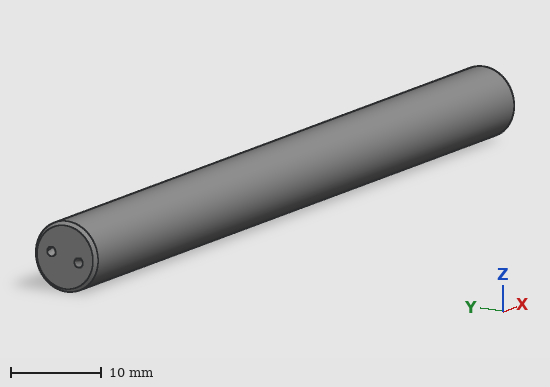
import cadquery as cq
import math

rod_length = 90.0
rod_diameter = 8.0
chamfer_size = 0.41

channel_diameter = 1.1
channel_spacing = 3.6
start_angle = 14.0
helix_lead = 43.6


def make_rod():
    """Rod from X = 0 to X = rod_length, chamfered at X = 0 only."""
    rod = cq.Workplane("YZ").circle(rod_diameter / 2).extrude(rod_length)
    return rod.faces("<X").edges().chamfer(chamfer_size)


def make_channel(angle):
    """Cutter for one channel that starts at the given angle and twists through the whole rod."""
    radius = channel_spacing / 2
    centre_y = radius * math.cos(math.radians(angle))
    centre_z = radius * math.sin(math.radians(angle))
    total_twist = 360 * rod_length / helix_lead
    profile = cq.Workplane("YZ").pushPoints([(centre_y, centre_z)]).circle(channel_diameter / 2)
    return profile.twistExtrude(rod_length, total_twist)


result = make_rod()
for channel_angle in (start_angle, start_angle + 180):
    result = result.cut(make_channel(channel_angle))